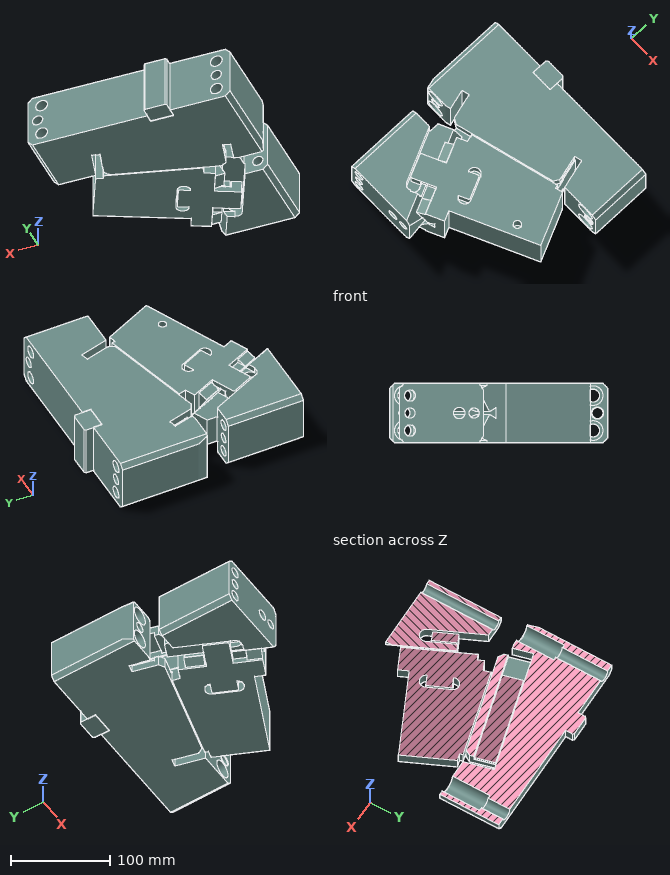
import cadquery as cq
import math

LENGTH = 220.0
HALF_HEIGHT = 30.03
EDGE_CHAMFER = 5.0
GUIDE_ANGLE = 15.0
WEDGE_ANGLE = 25.0
WEDGE_SLOPE = math.tan(math.radians(60))
FAR = 330.0
ROUND_END = 0.97


class Frame:
    """Coordinates (along, across) turned about Z by an angle."""

    def __init__(self, angle):
        self.angle = angle
        self.cos = math.cos(math.radians(angle))
        self.sin = math.sin(math.radians(angle))

    def xy(self, along, across):
        """X and Y of a point given in this frame."""
        return (along * self.cos - across * self.sin, along * self.sin + across * self.cos)

    def box(self, along, across, z):
        """Box between three (low, high) pairs."""
        lows, highs = zip(along, across, z)
        size = [high - low for low, high in zip(lows, highs)]
        solid = cq.Workplane("XY").box(*size, centered=False).translate(lows)
        return solid.rotate((0, 0, 0), (0, 0, 1), self.angle)

    def prism(self, profile, across):
        """Profile of (along, z) points, extruded over a (low, high) across range."""
        solid = cq.Workplane("XZ", origin=(0, across[0], 0)).polyline(profile).close()
        solid = solid.extrude(across[0] - across[1])
        return solid.rotate((0, 0, 0), (0, 0, 1), self.angle)


guide = Frame(GUIDE_ANGLE)
wedge = Frame(WEDGE_ANGLE)


TURN = math.radians(WEDGE_ANGLE - GUIDE_ANGLE)


def meet_along(wedge_along, guide_across):
    """Point where a wedge-frame along line meets a guide-frame across line."""
    guide_along = (wedge_along - guide_across * math.sin(TURN)) / math.cos(TURN)
    return guide.xy(guide_along, guide_across)


def meet_across(guide_along, wedge_across):
    """Point where a guide-frame along line meets a wedge-frame across line."""
    guide_across = (wedge_across + guide_along * math.sin(TURN)) / math.cos(TURN)
    return guide.xy(guide_along, guide_across)


def plate(points, half_height):
    """Upright plate centred on Z = 0 with the given XY outline."""
    return cq.Workplane("XY").polyline(points).close().extrude(half_height, both=True)


def both_sides(solid):
    """The solid together with its mirror image below Z = 0."""
    return solid.union(solid.mirror("XY"))


def y_hole(x, z, radius, y_low, y_high):
    """Round cutter along Y between two Y values."""
    return cq.Workplane("XZ", origin=(x, y_low, z)).circle(radius).extrude(y_low - y_high)


def corner_cutter(x, inward):
    """Upper 45 degree corner cutter along Y; inward is +1 or -1."""
    points = [
        (x, HALF_HEIGHT - EDGE_CHAMFER),
        (x + inward * EDGE_CHAMFER, HALF_HEIGHT),
        (x, HALF_HEIGHT),
    ]
    return cq.Workplane("XZ", origin=(0, -2.2, 0)).polyline(points).close().extrude(-FAR)


BLOCK_TOP = 209.2
BLOCK_LEFT_BOTTOM = 111.8
BLOCK_RIGHT_BOTTOM = 139.5
BLOCK_BEVEL_X = 3.5
BLOCK_BEVEL_Y = 11.5

TONGUE_LEFT = 72.0
TONGUE_RIGHT = 196.5
TONGUE_BOTTOM = 88.9
TONGUE_CHAMFER = 5.0
SLOT_WIDTH = 8.4
SLOT_TOP = 122.3
LEFT_LIP = 100.0

TEE_NECK_HALF = 16.7
TEE_HEAD_HALF = 21.1
TEE_SHOULDER = 98.5

KEY_LEFT = 65.3
KEY_RIGHT = 90.2
KEY_BOTTOM = 199.5
KEY_TOP = 219.0
KEY_RECESS = 0.7
KEY_CHAMFER = 1.5

BOLT_INSET = 15.0
BOLT_Z = 17.5
BOLT_RADIUS = 6.4
BOLT_HEAD_RADIUS = 10.0
BOLT_HEAD_DEPTH = 44.0
DOWEL_RADIUS = 5.5
DOWEL_RIGHT_X = 209.5
DOWEL_LEAD_RADIUS = 6.2
DOWEL_LEAD_DEPTH = 0.7


def block_outline():
    left_wall = TONGUE_LEFT - SLOT_WIDTH
    right_wall = TONGUE_RIGHT + SLOT_WIDTH
    lip_along = (BLOCK_LEFT_BOTTOM - LEFT_LIP * guide.cos) / guide.sin
    right_wall_bottom = (BLOCK_RIGHT_BOTTOM - right_wall * guide.sin) / guide.cos
    return [
        (0, BLOCK_TOP),
        (LENGTH, BLOCK_TOP),
        (LENGTH, BLOCK_RIGHT_BOTTOM),
        guide.xy(right_wall, right_wall_bottom),
        guide.xy(right_wall, SLOT_TOP),
        guide.xy(TONGUE_RIGHT, SLOT_TOP),
        guide.xy(TONGUE_RIGHT, TONGUE_BOTTOM + TONGUE_CHAMFER),
        guide.xy(TONGUE_RIGHT - TONGUE_CHAMFER, TONGUE_BOTTOM),
        guide.xy(TONGUE_LEFT + TONGUE_CHAMFER, TONGUE_BOTTOM),
        guide.xy(TONGUE_LEFT, TONGUE_BOTTOM + TONGUE_CHAMFER),
        guide.xy(TONGUE_LEFT, SLOT_TOP),
        guide.xy(left_wall, SLOT_TOP),
        guide.xy(left_wall, LEFT_LIP),
        guide.xy(lip_along, LEFT_LIP),
        (BLOCK_BEVEL_X, BLOCK_LEFT_BOTTOM),
        (0, BLOCK_LEFT_BOTTOM + BLOCK_BEVEL_Y),
    ]


def tee_slot():
    run = (TONGUE_LEFT - SLOT_WIDTH / 2, TONGUE_RIGHT + SLOT_WIDTH / 2)
    neck = guide.box(run, (TONGUE_BOTTOM - 2.2, TEE_SHOULDER), (-TEE_NECK_HALF, TEE_NECK_HALF))
    head = guide.box(run, (TEE_SHOULDER, SLOT_TOP), (-TEE_HEAD_HALF, TEE_HEAD_HALF))
    return neck.union(head)


def key_recesses():
    """Shallow recesses above and below the key."""
    recess = cq.Workplane("XY").box(KEY_RIGHT - KEY_LEFT, FAR, KEY_RECESS, centered=False)
    return both_sides(recess.translate((KEY_LEFT, KEY_BOTTOM, HALF_HEIGHT - KEY_RECESS)))


def key():
    """Locating key across the back face of the block."""
    height = 2 * (HALF_HEIGHT - KEY_RECESS)
    solid = cq.Workplane("XY").box(KEY_RIGHT - KEY_LEFT, KEY_TOP - KEY_BOTTOM, height)
    solid = solid.edges("|Z and >Y").chamfer(KEY_CHAMFER)
    return solid.translate(((KEY_LEFT + KEY_RIGHT) / 2, (KEY_BOTTOM + KEY_TOP) / 2, 0))


def block_holes():
    holes = y_hole(BOLT_INSET, 0, DOWEL_RADIUS, 0, FAR)
    holes = holes.union(y_hole(DOWEL_RIGHT_X, 0, DOWEL_RADIUS, 0, FAR))
    lead_end = BLOCK_RIGHT_BOTTOM + DOWEL_LEAD_DEPTH
    holes = holes.union(y_hole(DOWEL_RIGHT_X, 0, DOWEL_LEAD_RADIUS, 0, lead_end))
    for x, bottom in ((BOLT_INSET, BLOCK_LEFT_BOTTOM), (LENGTH - BOLT_INSET, BLOCK_RIGHT_BOTTOM)):
        for z in (-BOLT_Z, BOLT_Z):
            holes = holes.union(y_hole(x, z, BOLT_RADIUS, 0, FAR))
            holes = holes.union(y_hole(x, z, BOLT_HEAD_RADIUS, 0, bottom + BOLT_HEAD_DEPTH))
    return holes


def make_block():
    solid = plate(block_outline(), HALF_HEIGHT)
    solid = solid.cut(both_sides(corner_cutter(0, 1)))
    solid = solid.cut(both_sides(corner_cutter(LENGTH, -1)))
    solid = solid.cut(tee_slot())
    return solid.cut(key_recesses()).union(key()).cut(block_holes())


BASE_LEFT = 10.0
BASE_RIGHT = 94.8
BASE_BACK = 85.0
TAIL_LEFT = 35.6
TAIL_END = 71.7
TAIL_HALF = 16.7
LEDGE_EDGE = 67.0
NOSE_START = 81.8
NOSE_END = 98.5

STAPLE_AXIS = 19.1
STAPLE_HALF_WIDTH = 13.6
STAPLE_SPAN = (STAPLE_AXIS - STAPLE_HALF_WIDTH, STAPLE_AXIS + STAPLE_HALF_WIDTH)
STAPLE_FLOOR = 23.5
SEAT_BELOW = 26.8
SEAT_ABOVE = 15.2
JAW_SEAT_EXTRA = 1.0
BASE_POCKET_WIDTH = 13.6
BASE_POCKET_REACH = 26.0

BASE_BOLT_X = 20.7
BASE_BOLT_RADIUS = 5.5
BASE_PIN_RADIUS = 5.0
BASE_PIN_X = 85.1
BASE_WIDE_PIN_X = 70.2
BASE_WIDE_PIN_RADIUS = 5.7


def wedge_height(along, shift=0.0):
    """Half height of the wedge slopes, moved along by a clearance."""
    return HALF_HEIGHT - (along - shift - NOSE_START) * WEDGE_SLOPE


def base_outline():
    nose_y = (NOSE_END - BASE_RIGHT * wedge.cos) / wedge.sin
    tail_y = (TAIL_END + TAIL_LEFT * wedge.sin) / wedge.cos
    return [
        (BASE_LEFT, 0),
        (BASE_RIGHT, 0),
        (BASE_RIGHT, nose_y),
        wedge.xy(NOSE_END, TAIL_END),
        (TAIL_LEFT, tail_y),
        (TAIL_LEFT, BASE_BACK),
        (BASE_LEFT, BASE_BACK),
    ]


def nose_slope():
    """Cutter above the wedge's upper slope."""
    profile = [
        (NOSE_START, HALF_HEIGHT),
        (NOSE_END, wedge_height(NOSE_END)),
        (NOSE_END + 2.2, wedge_height(NOSE_END)),
        (NOSE_END + 2.2, HALF_HEIGHT),
    ]
    return wedge.prism(profile, (-FAR, FAR))


def base_ledge():
    """Space above the tail, the slider side and the staple's foot."""
    top = (TAIL_HALF, HALF_HEIGHT)
    ledge = wedge.box((LEDGE_EDGE, FAR), (STAPLE_SPAN[1], FAR), top)
    behind = cq.Workplane("XY").box(FAR, FAR, HALF_HEIGHT - TAIL_HALF, centered=False)
    ledge = ledge.union(behind.translate((0, BASE_BACK, TAIL_HALF)))
    pocket_end = STAPLE_AXIS - BASE_POCKET_REACH
    pocket = wedge.box((LEDGE_EDGE, LEDGE_EDGE + BASE_POCKET_WIDTH), (pocket_end, STAPLE_SPAN[1]), top)
    corners = cq.selectors.BoxSelector((0, 0, 0), (FAR, BASE_BACK / 2, FAR))
    pocket = pocket.edges("|Z").edges(corners).fillet(BASE_POCKET_WIDTH / 2 * ROUND_END)
    return ledge.union(pocket)


def staple_seat(extra):
    """Seat of the staple's bridge, across the wedge and the jaw, reaching extra below the axis."""
    across = (STAPLE_AXIS - SEAT_BELOW - extra, STAPLE_AXIS + SEAT_ABOVE)
    return wedge.box((LEDGE_EDGE + BASE_POCKET_WIDTH / 2, JAW_BACK), across, (STAPLE_FLOOR, HALF_HEIGHT))


def base_holes():
    holes = y_hole(BASE_BOLT_X, 0, BASE_PIN_RADIUS, 0, FAR)
    for z in (-BOLT_Z, BOLT_Z):
        holes = holes.union(y_hole(BASE_BOLT_X, z, BASE_BOLT_RADIUS, 0, FAR))
    holes = holes.union(y_hole(BASE_WIDE_PIN_X, 0, BASE_WIDE_PIN_RADIUS, 0, FAR))
    return holes.union(y_hole(BASE_PIN_X, 0, BASE_PIN_RADIUS, 0, FAR))


def make_base():
    solid = plate(base_outline(), HALF_HEIGHT)
    for cutter in (corner_cutter(BASE_LEFT, 1), nose_slope(), base_ledge(), staple_seat(0)):
        solid = solid.cut(both_sides(cutter))
    return solid.cut(base_holes())


JAW_TIP = 87.1
JAW_BACK = 96.8
JAW_TOP = 27.7
JAW_TIP_HEIGHT = 23.8
JAW_END = 54.3
GROOVE_CLEARANCE = 1.3
GROOVE_NECK = 1.3
RELIEF_HALF = 5.5
RELIEF_END = 107.0

EAR_LOW = -24.6
EAR_HIGH = 61.5
EAR_END = 117.7
BODY_LOW = -13.0
BODY_END = 217.1

HEAD_LEFT = 96.1
HEAD_RIGHT = 197.5
SLIDER_BACK = 87.8
SHOULDER = 84.0
TEE_CLEARANCE = 0.5

STAPLE_LEFT = 68.9
STAPLE_CORNER = 1.5
STAPLE_END = 132.9
FOOT_SLOT_END = 134.2
FOOT_SLOT_WIDTH = 13.5
FOOT_SLOT_REACH = 20.0
FOOT_GAP = 1.0

SIDE_RECESS_HALF = 12.0
SIDE_RECESS_DEPTH = 1.0

TAPPED_X = 170.0
TAPPED_Y = 78.0
TAPPED_RADIUS = 4.2
TAPPED_DEPTH = 17.5
DRILL_POINT = 2.5


def slider_outline():
    return [
        wedge.xy(JAW_BACK, EAR_LOW),
        wedge.xy(EAR_END, EAR_LOW),
        wedge.xy(EAR_END, BODY_LOW),
        wedge.xy(BODY_END, BODY_LOW),
        meet_along(BODY_END, SHOULDER),
        guide.xy(HEAD_RIGHT, SHOULDER),
        guide.xy(HEAD_RIGHT, SLIDER_BACK),
        guide.xy(HEAD_LEFT, SLIDER_BACK),
        meet_across(HEAD_LEFT, EAR_HIGH),
        wedge.xy(JAW_BACK, EAR_HIGH),
    ]


def jaw():
    """Upper lip that reaches over the wedge nose."""
    profile = [
        (JAW_BACK, JAW_TOP),
        (JAW_TIP, JAW_TIP_HEIGHT),
        (JAW_TIP, wedge_height(JAW_TIP, GROOVE_CLEARANCE)),
        (JAW_BACK, wedge_height(JAW_BACK, GROOVE_CLEARANCE)),
    ]
    return wedge.prism(profile, (EAR_LOW, JAW_END))


def groove():
    """Vee groove for the wedge nose, with a flared relief behind its neck."""
    neck = NOSE_START + GROOVE_CLEARANCE + (HALF_HEIGHT - GROOVE_NECK) / WEDGE_SLOPE
    mouth = wedge_height(JAW_BACK, GROOVE_CLEARANCE)
    upper = [(JAW_BACK, mouth), (neck, GROOVE_NECK), (RELIEF_END, RELIEF_HALF)]
    lower = [(along, -z) for along, z in reversed(upper)]
    return wedge.prism(upper + lower, (EAR_LOW - 2.2, EAR_HIGH + FAR))


def tee_head():
    """T-shaped rib that runs in the block's T-slot."""
    run = (HEAD_LEFT, HEAD_RIGHT)
    neck = TEE_NECK_HALF - TEE_CLEARANCE
    head = TEE_HEAD_HALF - TEE_CLEARANCE
    rib = guide.box(run, (SHOULDER, SLOT_TOP), (-neck, neck))
    return rib.union(
        guide.box(run, (TEE_SHOULDER + TEE_CLEARANCE, SLOT_TOP - TEE_CLEARANCE), (-head, head))
    )


def round_corner(solid, along, across):
    """Round the vertical edge of a staple part at a wedge-frame point."""
    x, y = wedge.xy(along, across)
    nearest = cq.selectors.NearestToPointSelector((x, y, STAPLE_FLOOR))
    return solid.edges("|Z").edges(nearest).fillet(STAPLE_CORNER)


def staple():
    """Bridge from the slider to a foot in the base's pocket."""
    foot_end = LEDGE_EDGE + BASE_POCKET_WIDTH - FOOT_GAP
    bridge = wedge.box((STAPLE_LEFT, JAW_BACK + 2.2), STAPLE_SPAN, (STAPLE_FLOOR, HALF_HEIGHT))
    foot = wedge.box((STAPLE_LEFT, foot_end), STAPLE_SPAN, (TAIL_HALF, HALF_HEIGHT))
    solid = bridge.union(foot)
    for side in STAPLE_SPAN:
        solid = round_corner(solid, STAPLE_LEFT, side)
    return solid


def foot_slot():
    """Round-ended slot around the staple's inner foot."""
    top = (TAIL_HALF, HALF_HEIGHT)
    slot = wedge.box(
        (FOOT_SLOT_END - FOOT_SLOT_WIDTH, FOOT_SLOT_END),
        (STAPLE_AXIS - FOOT_SLOT_REACH, STAPLE_AXIS + FOOT_SLOT_REACH),
        top,
    )
    slot = slot.edges("|Z").fillet(FOOT_SLOT_WIDTH / 2 * ROUND_END)
    foot = wedge.box((JAW_BACK, STAPLE_END), STAPLE_SPAN, top)
    for side in STAPLE_SPAN:
        foot = round_corner(foot, STAPLE_END, side)
    return slot.cut(foot)


def side_recess():
    depth = (HEAD_LEFT - 2.2, HEAD_LEFT + SIDE_RECESS_DEPTH)
    return guide.box(depth, (0, SLOT_TOP), (-SIDE_RECESS_HALF, SIDE_RECESS_HALF))


def tapped_hole():
    """Blind hole with a conical bottom."""
    bottom = HALF_HEIGHT - TAPPED_DEPTH
    profile = [
        (0, HALF_HEIGHT),
        (TAPPED_RADIUS, HALF_HEIGHT),
        (TAPPED_RADIUS, bottom),
        (0, bottom - DRILL_POINT),
    ]
    hole = cq.Workplane("XZ").polyline(profile).close().revolve(360, (0, 0, 0), (0, 1, 0))
    return hole.translate((TAPPED_X, TAPPED_Y, 0))


def make_slider():
    solid = plate(slider_outline(), HALF_HEIGHT).cut(groove())
    solid = solid.union(tee_head()).cut(side_recess()).union(both_sides(jaw()))
    solid = solid.cut(both_sides(staple_seat(JAW_SEAT_EXTRA))).cut(both_sides(foot_slot()))
    return solid.union(both_sides(staple())).cut(tapped_hole())


block = make_block().solids()
base = make_base().solids()
slider = make_slider().solids()
result = cq.Compound.makeCompound([block.val(), base.val(), slider.val()])